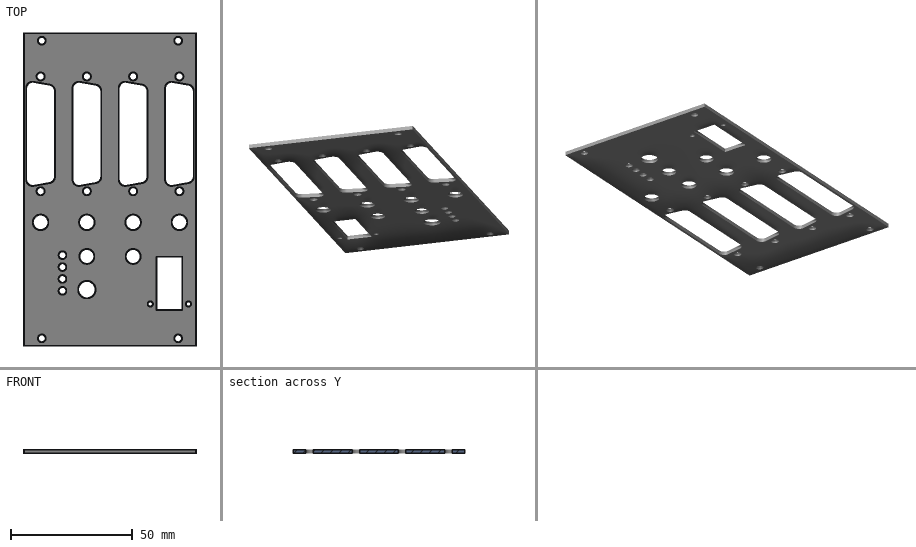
import cadquery as cq
import math

plate_width = 70.8
plate_length = 128.5
plate_thickness = 1.5

mount_diameter = 3.1
mount_spacing_x = 56.0
mount_spacing_y = 122.3

column_count = 4
column_pitch = 19.0
connector_y = 22.9
cutout_width = 11.7
cutout_long_side = 43.7
cutout_taper_angle = 10.0
cutout_corner_radius = 2.6
connector_screw_diameter = 3.2
connector_screw_spacing = 47.2

upper_row_diameter = 6.3
upper_row_y = -13.5
lower_row_diameter = 6.0
lower_row_y = -27.5
large_hole_diameter = 7.1
large_hole_y = -41.1

indicator_count = 4
indicator_diameter = 3.1
indicator_pitch = 4.9
indicator_x = -19.5
indicator_center_y = -34.3

window_width = 10.4
window_length = 21.7
window_x = 24.4
window_y = -38.5
window_screw_diameter = 2.0
window_screw_spacing = 15.7
window_screw_y = -47.0

column_xs = [(i - (column_count - 1) / 2) * column_pitch for i in range(column_count)]
middle_column_xs = column_xs[1:-1]


def drill(plate, points, diameter):
    """Cut round through holes at the given points."""
    holes = cq.Workplane("XY").pushPoints(points).circle(diameter / 2).extrude(plate_thickness)
    return plate.cut(holes)


def connector_cutout(center_x):
    """Tapered opening with rounded corners and its long side on the left."""
    half_width = cutout_width / 2
    half_long = cutout_long_side / 2
    half_short = half_long - cutout_width * math.tan(math.radians(cutout_taper_angle))
    corners = [
        (-half_width, -half_long),
        (half_width, -half_short),
        (half_width, half_short),
        (-half_width, half_long),
    ]
    return (
        cq.Workplane("XY")
        .center(center_x, connector_y)
        .polyline(corners)
        .close()
        .extrude(plate_thickness)
        .edges("|Z")
        .fillet(cutout_corner_radius)
    )


result = cq.Workplane("XY").box(plate_width, plate_length, plate_thickness, centered=(True, True, False))
mount_points = [
    (side_x * mount_spacing_x / 2, side_y * mount_spacing_y / 2)
    for side_x in (-1, 1)
    for side_y in (-1, 1)
]
result = drill(result, mount_points, mount_diameter)

for column_x in column_xs:
    result = result.cut(connector_cutout(column_x))
    screw_points = [(column_x, connector_y + side * connector_screw_spacing / 2) for side in (-1, 1)]
    result = drill(result, screw_points, connector_screw_diameter)

result = drill(result, [(x, upper_row_y) for x in column_xs], upper_row_diameter)
result = drill(result, [(x, lower_row_y) for x in middle_column_xs], lower_row_diameter)
result = drill(result, [(middle_column_xs[0], large_hole_y)], large_hole_diameter)

indicator_points = [
    (indicator_x, indicator_center_y + (i - (indicator_count - 1) / 2) * indicator_pitch)
    for i in range(indicator_count)
]
result = drill(result, indicator_points, indicator_diameter)

window = (
    cq.Workplane("XY")
    .center(window_x, window_y)
    .rect(window_width, window_length)
    .extrude(plate_thickness)
)
result = result.cut(window)
window_screw_points = [(window_x + side * window_screw_spacing / 2, window_screw_y) for side in (-1, 1)]
result = drill(result, window_screw_points, window_screw_diameter)